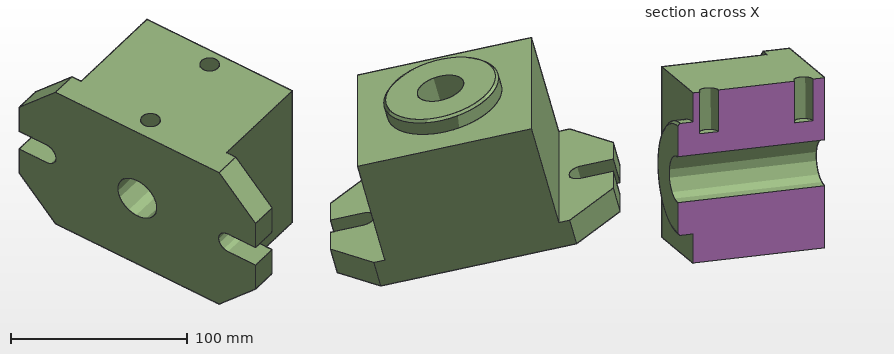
import cadquery as cq

flange_length = 165.1
height = 101.5
flange_thickness = 16.0
corner_chamfer = 25.5
slot_width = 13.5
slot_depth = 25.8

body_width = height
body_back = 79.5
total_depth = 88.8
spigot_diameter = 67.0
spigot_chamfer = 1.5

bore_diameter = 27.0
port_diameter = 11.0
port_positions = (12.7, 69.8)
port_depth = 24.8


def along_y(start):
    """Workplane at y = start, where a negative extrusion runs toward +Y."""
    return cq.Workplane("XZ", origin=(0, start, 0))


def make_flange():
    flange = cq.Workplane("XY").box(flange_length, flange_thickness, height, centered=(True, False, True))
    flange = flange.edges("|Y").chamfer(corner_chamfer)
    end_face = flange_length / 2
    for side in (-1, 1):
        slot = along_y(0).center(side * end_face, 0).slot2D(2 * slot_depth, slot_width)
        flange = flange.cut(slot.extrude(-flange_thickness))
    return flange


def make_body():
    return cq.Workplane("XY").box(body_width, body_back, height, centered=(True, False, True))


def make_spigot():
    spigot = along_y(body_back).circle(spigot_diameter / 2).extrude(body_back - total_depth)
    return spigot.faces(">Y").chamfer(spigot_chamfer)


def make_bore():
    return along_y(0).circle(bore_diameter / 2).extrude(-total_depth)


def make_ports():
    """Blind holes down from the top face."""
    ports = cq.Workplane("XY", origin=(0, 0, height / 2)).pushPoints([(0, y) for y in port_positions])
    return ports.circle(port_diameter / 2).extrude(-port_depth)


result = make_flange().union(make_body()).union(make_spigot()).cut(make_bore()).cut(make_ports())